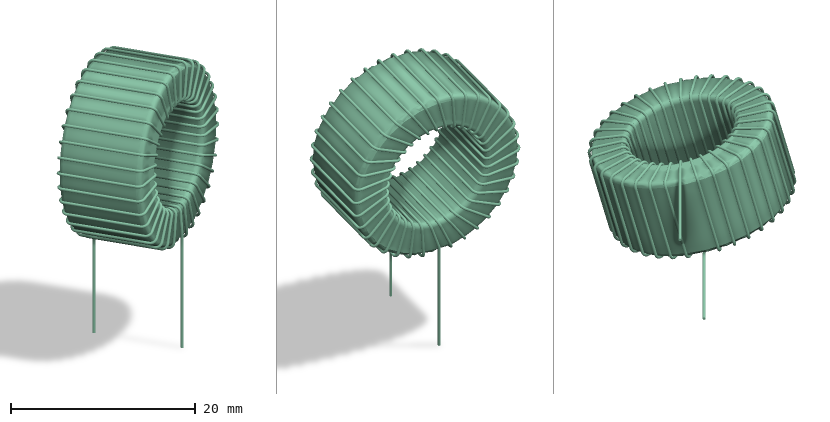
import cadquery as cq
import math


overall_height = 32.9
core_outer_diameter = 20.4
core_inner_diameter = 12.4
core_width = 9.75
core_edge_radius = 0.5
wire_diameter = 0.32
turn_count = 36
lead_spacing = 10.5
lead_top_drop = 9.35

wire_radius = wire_diameter / 2
winding_outer_radius = core_outer_diameter / 2 + wire_radius
winding_inner_radius = core_inner_diameter / 2 - wire_radius
winding_half_width = core_width / 2 + wire_radius
bend_radius = core_edge_radius + wire_radius
turn_angle = 360 / turn_count
lead_angle = 270
lead_x = lead_spacing / 2
lead_bottom_z = winding_outer_radius + wire_radius - overall_height


def make_core():
    """Ring along X with all four circular edges rounded."""
    return (
        cq.Workplane("YZ", origin=(-core_width / 2, 0, 0))
        .circle(core_outer_diameter / 2)
        .circle(core_inner_diameter / 2)
        .extrude(core_width)
        .edges("%CIRCLE")
        .fillet(core_edge_radius)
    )


def ring_point(x, radius, angle):
    """Point at a radius and an angle (degrees from +Y towards +Z) around the X axis."""
    a = math.radians(angle)
    return cq.Vector(x, radius * math.cos(a), radius * math.sin(a))


def winding_corners():
    """Sharp corners of the winding, from one lead to the other.

    Each turn runs through the bore, radially out over the +X face, back along the
    outside, and in over the -X face to the next turn's place in the bore.
    """
    corners = []
    for turn in range(1, turn_count + 1):
        angle = lead_angle + turn * turn_angle
        corners.append(ring_point(-winding_half_width, winding_inner_radius, angle))
        corners.append(ring_point(winding_half_width, winding_inner_radius, angle))
        if turn < turn_count:
            corners.append(ring_point(winding_half_width, winding_outer_radius, angle))
            corners.append(ring_point(-winding_half_width, winding_outer_radius, angle))
    return corners


def bend(before, corner, after):
    """Arc that rounds one corner of the wire, tangent to both of its legs."""
    leg_in = (before - corner).normalized()
    leg_out = (after - corner).normalized()
    half_angle = leg_in.getAngle(leg_out) / 2
    setback = bend_radius / math.tan(half_angle)
    middle_distance = bend_radius / math.sin(half_angle) - bend_radius
    middle = corner + (leg_in + leg_out).normalized() * middle_distance
    return cq.Edge.makeThreePointArc(corner + leg_in * setback, middle, corner + leg_out * setback)


def wire_path():
    """Centre line of the wire: lead, bent windings, lead."""
    lead_tops = [cq.Vector(side * lead_x, 0, -lead_top_drop) for side in (-1, 1)]
    lead_ends = [cq.Vector(side * lead_x, 0, lead_bottom_z) for side in (-1, 1)]
    points = [lead_tops[0], *winding_corners(), lead_tops[1]]

    edges = [cq.Edge.makeLine(lead_ends[0], lead_tops[0])]
    position = lead_tops[0]
    for before, corner, after in zip(points, points[1:], points[2:]):
        arc = bend(before, corner, after)
        edges.append(cq.Edge.makeLine(position, arc.startPoint()))
        edges.append(arc)
        position = arc.endPoint()
    edges.append(cq.Edge.makeLine(position, lead_tops[1]))
    edges.append(cq.Edge.makeLine(lead_tops[1], lead_ends[1]))
    return cq.Wire.assembleEdges(edges)


def make_winding():
    """Round wire swept along its centre line, mitred where the leads turn down."""
    return (
        cq.Workplane("XY", origin=(-lead_x, 0, lead_bottom_z))
        .circle(wire_radius)
        .sweep(cq.Workplane(wire_path()), transition="right")
    )


core = make_core()
winding = make_winding()

result = cq.Compound.makeCompound([core.val(), winding.val()])